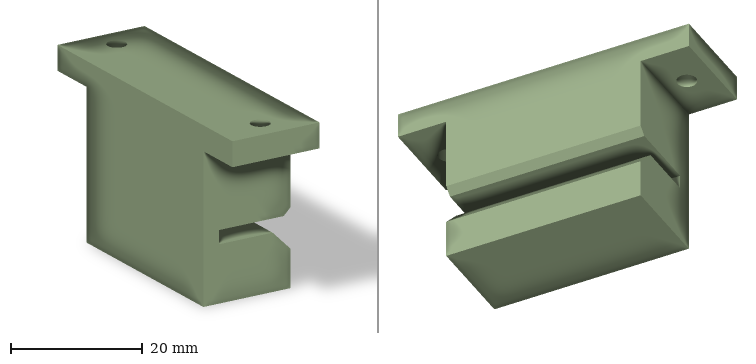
import cadquery as cq

flange_length = 50.0
flange_thickness = 4.2
body_length = 33.4
depth = 15.6
height = 29.4

hole_diameter = 3.2
hole_spacing = 41.0

slot_floor_z = 9.6
slot_width = 2.3
slot_depth = 12.8
lower_lead_in = 3.2
upper_lead_in = 1.2

back_y = depth / 2
slot_end_y = back_y - slot_depth
slot_ceiling_z = slot_floor_z + slot_width


def make_block():
    """T-shaped block: a body hanging below a longer flange."""
    body = cq.Workplane("XY").box(body_length, depth, height, centered=(True, True, False))
    flange = (
        cq.Workplane("XY")
        .workplane(offset=height - flange_thickness)
        .box(flange_length, depth, flange_thickness, centered=(True, True, False))
    )
    return body.union(flange)


def make_slot():
    """Slot cutter whose mouth is widened by 45-degree lead-ins."""
    profile = [
        (slot_end_y, slot_floor_z),
        (back_y - lower_lead_in, slot_floor_z),
        (back_y, slot_floor_z - lower_lead_in),
        (back_y, slot_ceiling_z + upper_lead_in),
        (back_y - upper_lead_in, slot_ceiling_z),
        (slot_end_y, slot_ceiling_z),
    ]
    return cq.Workplane("YZ").polyline(profile).close().extrude(body_length / 2, both=True)


def make_holes():
    """Cutters for the vertical mounting holes."""
    half_spacing = hole_spacing / 2
    return (
        cq.Workplane("XY")
        .workplane(offset=height - flange_thickness)
        .pushPoints([(-half_spacing, 0), (half_spacing, 0)])
        .circle(hole_diameter / 2)
        .extrude(flange_thickness)
    )


result = make_block().cut(make_slot()).cut(make_holes())